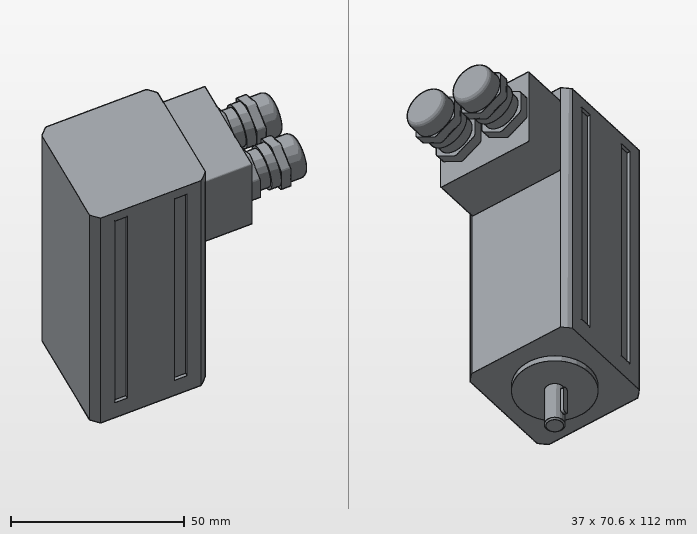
import cadquery as cq

overall_height = 112.0
housing_side = 37.0
corner_diameter = 49.0
flange_diameter = 25.0
flange_height = 2.0

shaft_diameter = 6.0
shaft_length = 14.0
shaft_chamfer = 0.5
key_width = 2.0
key_length = 10.0
key_reach = 3.9
key_flange_gap = 1.0

housing_height = overall_height - shaft_length - flange_height

groove_width = 4.0
groove_length = 85.0
groove_depth = 1.0
groove_offset = 9.5
groove_bottom = 7.0

box_width = 32.0
box_depth = 15.0
box_height = 28.0
box_top_gap = 5.0
box_corner_radius = 0.5

overall_depth = 70.6
gland_pitch = 16.6
hex_across_flats = 14.0
hex_corner_radius = 1.2
hex_thickness = 3.0
neck_diameter = 12.0
neck_length = 3.7
cap_diameter = 13.5
collar_length = 3.0
cap_edge_radius = 2.0

box_back = housing_side / 2
box_face = box_back + box_depth
box_center_z = housing_height - box_top_gap - box_height / 2
gland_length = overall_depth - housing_side - box_depth


def make_housing():
    block = cq.Workplane("XY").rect(housing_side, housing_side).extrude(housing_height)
    corner_cylinder = cq.Workplane("XY").circle(corner_diameter / 2).extrude(housing_height)
    housing = block.intersect(corner_cylinder)
    flange = cq.Workplane("XY").circle(flange_diameter / 2).extrude(-flange_height)
    return cut_grooves(housing.union(flange))


def cut_grooves(housing):
    groove_center_z = groove_bottom + groove_length / 2
    for side in (-1, 1):
        for row in (-1, 1):
            groove = cq.Workplane("XY").box(2 * groove_depth, groove_width, groove_length)
            place = (side * housing_side / 2, row * groove_offset, groove_center_z)
            housing = housing.cut(groove.translate(place))
    return housing


def make_shaft():
    shaft = (
        cq.Workplane("XY", origin=(0, 0, -flange_height))
        .circle(shaft_diameter / 2)
        .extrude(-shaft_length)
        .faces("<Z")
        .chamfer(shaft_chamfer)
    )
    key_center_z = -flange_height - key_flange_gap - key_length / 2
    key = (
        cq.Workplane("YZ", origin=(0, 0, key_center_z))
        .slot2D(key_length, key_width, 90)
        .extrude(-key_reach)
    )
    return shaft.union(key)


def make_terminal_box():
    return (
        cq.Workplane("XY")
        .box(box_width, box_depth, box_height)
        .edges("|Y")
        .fillet(box_corner_radius)
        .translate((0, box_back + box_depth / 2, box_center_z))
    )


def make_hex(start):
    """Hexagon along +Y with flats facing +X and -X and rounded corners."""
    return (
        cq.Workplane("XZ", origin=(0, start, 0))
        .polygon(6, hex_across_flats, circumscribed=True)
        .extrude(-hex_thickness)
        .edges("|Y")
        .fillet(hex_corner_radius)
    )


def make_round(start, diameter, length):
    """Cylinder along +Y."""
    return cq.Workplane("XZ", origin=(0, start, 0)).circle(diameter / 2).extrude(-length)


def make_gland(x):
    cap_start = hex_thickness + neck_length
    cap_hex_start = cap_start + collar_length
    cap = make_round(cap_start, cap_diameter, gland_length - cap_start)
    cap = cap.faces(">Y").edges().fillet(cap_edge_radius)
    gland = (
        make_hex(0)
        .union(make_round(hex_thickness, neck_diameter, neck_length))
        .union(cap)
        .union(make_hex(cap_hex_start))
    )
    return gland.translate((x, box_face, box_center_z))


housing = make_housing()
shaft = make_shaft()
terminal_box = make_terminal_box()
glands = [make_gland(side * gland_pitch / 2) for side in (-1, 1)]

result = cq.Compound.makeCompound(
    [housing.val(), shaft.val(), terminal_box.val(), *[gland.val() for gland in glands]]
)